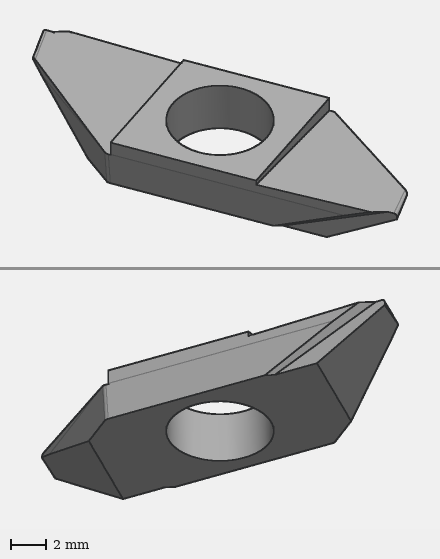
import cadquery as cq
import math


LENGTH = 24.73
WIDTH = 8.3
HEIGHT = 3.18
HOLE_DIAMETER = 6.11
HALF_WIDTH = WIDTH / 2

LAND_HEIGHT = 0.87
RELIEF_ANGLE = 4.0
FLANK_ANGLE = 40.0
FLANK_CORNER_X = -5.32
CORNER_RADIUS = 0.4

EDGE_Y = 3.77
EDGE_ANGLE = 6.5
EDGE_RADIUS = 0.2

STEP_X = -4.46
STEP_ANGLE = 7.7
EDGE_Z = 3.085
RAKE_SLOPE_X = -0.0285
RAKE_SLOPE_Y = 0.078

CLEARANCE_Z = 2.68
CLEARANCE_ANGLE = 32.2
CLEARANCE_TURN = 8.7

SHOULDER_INNER_X = -11.85
SHOULDER_OUTER_X = -10.95
SHOULDER_ANGLE = 25.5

EDGE_TIP = (-LENGTH / 2, EDGE_Y, EDGE_Z)
REACH = 40.0


def half_space(point, normal):
    """Large block that starts at a plane and extends along its normal."""
    return cq.Workplane(cq.Plane(origin=point, normal=normal)).rect(2 * REACH, 2 * REACH).extrude(REACH)


def upright_normal(turn):
    """Horizontal direction pointing to -X, turned away from it by an angle."""
    angle = math.radians(turn)
    return (-math.cos(angle), math.sin(angle), 0)


def cut_both_wings(body, cutter):
    """Apply a left wing cutter and its half-turn copy."""
    opposite = cutter.rotate((0, 0, 0), (0, 0, 1), 180)
    return body.cut(cutter).cut(opposite)


def make_blank():
    """Parallelogram blank with an upright land, relieved lower sides and rounded blunt corners."""
    flank_run = WIDTH / math.tan(math.radians(FLANK_ANGLE))
    outline = [
        (FLANK_CORNER_X, -HALF_WIDTH),
        (flank_run - FLANK_CORNER_X, -HALF_WIDTH),
        (-FLANK_CORNER_X, HALF_WIDTH),
        (FLANK_CORNER_X - flank_run, HALF_WIDTH),
    ]
    land_bottom = HEIGHT - LAND_HEIGHT
    base = cq.Workplane("XY").workplane(offset=land_bottom)
    land = base.polyline(outline).close().extrude(LAND_HEIGHT)
    relieved = base.polyline(outline).close().extrude(-land_bottom, taper=RELIEF_ANGLE)
    blunt_corners = cq.selectors.BoxSelector((-LENGTH / 2, -WIDTH, 0), (LENGTH / 2, WIDTH, HEIGHT))
    relieved = relieved.edges("not #Z").edges(blunt_corners).fillet(CORNER_RADIUS)
    return land.union(relieved)


def cut_ends(body):
    """Trim the wings to the cutting edges."""
    return cut_both_wings(body, half_space(EDGE_TIP, upright_normal(-EDGE_ANGLE)))


def cut_rakes(body):
    """Sink the sloping rake faces, leaving the raised seat between the end walls."""
    above_rake = half_space(EDGE_TIP, (-RAKE_SLOPE_X, -RAKE_SLOPE_Y, 1))
    beyond_step = half_space((STEP_X, 0, 0), upright_normal(STEP_ANGLE))
    return cut_both_wings(body, above_rake.intersect(beyond_step))


def round_edges(body):
    """Round the two cutting edges, found by their middle points."""
    flank_y = (EDGE_TIP[0] - FLANK_CORNER_X) * -math.tan(math.radians(FLANK_ANGLE)) - HALF_WIDTH
    middle_y = (HALF_WIDTH + flank_y) / 2
    for side in (-1, 1):
        middle = (side * LENGTH / 2, -side * middle_y, EDGE_Z)
        body = body.edges(cq.selectors.NearestToPointSelector(middle)).fillet(EDGE_RADIUS)
    return body


def cut_clearances(body):
    """Slant the underside of each wing up to its cutting edge."""
    tilt = math.radians(CLEARANCE_ANGLE)
    outward = upright_normal(-CLEARANCE_TURN)
    normal = (outward[0] * math.sin(tilt), outward[1] * math.sin(tilt), -math.cos(tilt))
    return cut_both_wings(body, half_space((EDGE_TIP[0], EDGE_TIP[1], CLEARANCE_Z), normal))


def cut_shoulders(body):
    """Narrow each wing beside its cutting edge with a slanting cut."""
    rise = HALF_WIDTH - EDGE_Y
    run = SHOULDER_OUTER_X - SHOULDER_INNER_X
    outline = [
        (SHOULDER_INNER_X, EDGE_Y),
        (SHOULDER_OUTER_X + run, HALF_WIDTH + rise),
        (-REACH, HALF_WIDTH + rise),
        (-REACH, EDGE_Y),
    ]
    tilt = math.radians(SHOULDER_ANGLE)
    along = cq.Vector(REACH * math.cos(tilt), 0, -REACH * math.sin(tilt))
    start = cq.Vector(0, 0, EDGE_Z) - along
    wire = cq.Wire.makePolygon([cq.Vector(x, y, 0) + start for x, y in outline], close=True)
    cutter = cq.Solid.extrudeLinear(wire, [], along * 2)
    return cut_both_wings(body, cq.Workplane(cutter))


def drill_seat(body):
    """Clamp screw hole through the seat."""
    hole = cq.Workplane("XY").circle(HOLE_DIAMETER / 2).extrude(HEIGHT)
    return body.cut(hole)


body = make_blank()
body = cut_ends(body)
body = cut_rakes(body)
body = round_edges(body)
body = cut_clearances(body)
body = cut_shoulders(body)
result = drill_seat(body).solids()